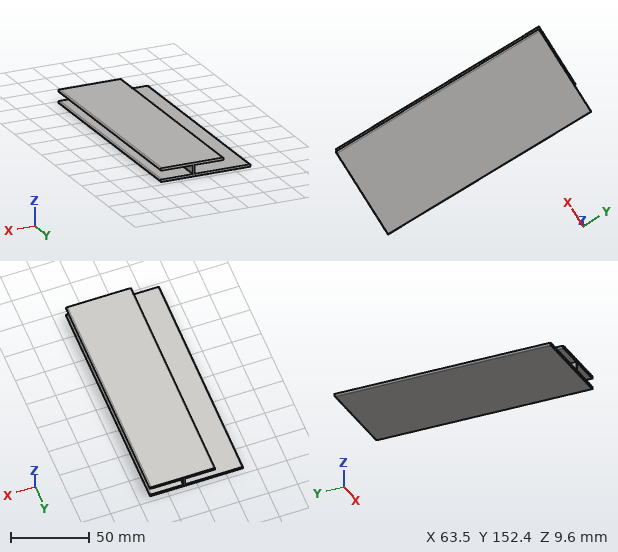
import cadquery as cq

length = 152.4
lower_width = 63.5
height = 9.6

flange_thickness = 1.8
upper_width = 44.5
web_thickness = 1.5
web_from_right = 23.5

right_edge = lower_width / 2
web_x = right_edge - web_from_right
flange_offset = (height - flange_thickness) / 2


def flange(width, z_middle):
    """Flat strip with fully rounded long edges, flush with the right edge."""
    return (
        cq.Workplane("XZ")
        .center(right_edge - width / 2, z_middle)
        .slot2D(width, flange_thickness)
        .extrude(length / 2, both=True)
    )


web = cq.Workplane("XY").box(web_thickness, length, 2 * flange_offset).translate((web_x, 0, 0))

lower_flange = flange(lower_width, -flange_offset)
upper_flange = flange(upper_width, flange_offset)

result = lower_flange.union(web).union(upper_flange)